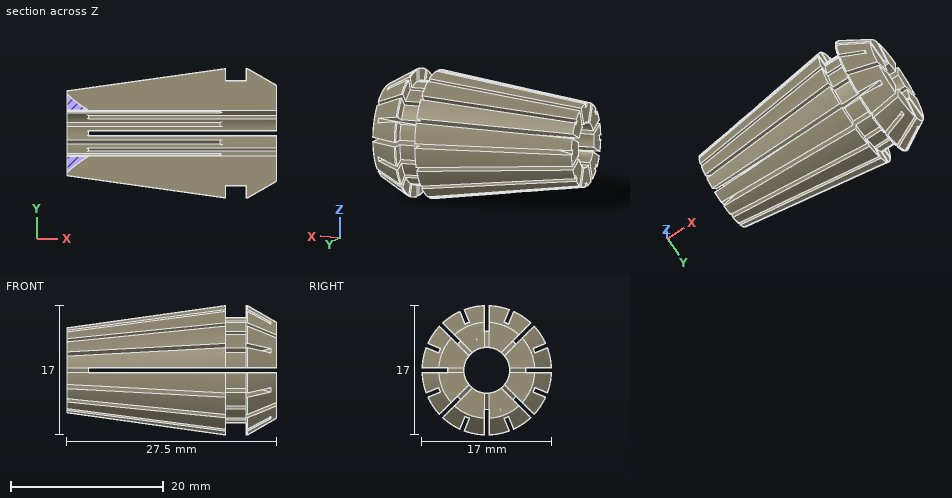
import cadquery as cq
import math

length = 27.5
max_radius = 8.5
bore_radius = 3.0

front_cone_length = 20.82
front_cone_angle = math.radians(8)
front_radius = max_radius - front_cone_length * math.tan(front_cone_angle)

groove_end = 23.48
groove_radius = 6.9
land_end = 23.68

rear_cone_angle = math.radians(30)
rear_radius = max_radius - (length - land_end) * math.tan(rear_cone_angle)

slot_width = 0.6
slots_per_end = 8
slot_pitch = 360 / slots_per_end

rear_slot_disc_radius = 20.0
rear_slot_lowest = 0.0
rear_slot_floor_radius = 5.15

front_slot_disc_radius = 31.9
front_slot_lowest = 0.6
front_slot_end = 26.75
front_slot_end_radius = max_radius - (front_slot_end - land_end) * math.tan(rear_cone_angle)


def rim_reach(disc_radius, lowest, radius):
    """Axial distance from the disc centre to its rim at the given distance from the collet axis."""
    drop = disc_radius + lowest - radius
    return math.sqrt(disc_radius**2 - drop**2)


def make_body():
    """Revolve the bored outline about X."""
    outline = [
        (0, bore_radius),
        (0, front_radius),
        (front_cone_length, max_radius),
        (front_cone_length, groove_radius),
        (groove_end, groove_radius),
        (groove_end, max_radius),
        (land_end, max_radius),
        (length, rear_radius),
        (length, bore_radius),
    ]
    return cq.Workplane("XY").polyline(outline).close().revolve(360, (0, 0, 0), (1, 0, 0))


def make_slot_cutter(disc_radius, lowest, disc_x, open_end_x):
    """Disc at the closed end of a slot, joined to a slab that runs out through the open end."""
    disc_height = disc_radius + lowest
    disc = (
        cq.Workplane("XZ")
        .center(disc_x, disc_height)
        .circle(disc_radius)
        .extrude(slot_width / 2, both=True)
    )
    slab = (
        cq.Workplane("XZ")
        .center((disc_x + open_end_x) / 2, disc_height / 2)
        .rect(abs(open_end_x - disc_x), disc_height)
        .extrude(slot_width / 2, both=True)
    )
    return disc.union(slab)


def cut_slots(body, cutter, first_angle):
    """Cut one ring of equally spaced slots."""
    for index in range(slots_per_end):
        angle = first_angle + index * slot_pitch
        body = body.cut(cutter.rotate((0, 0, 0), (1, 0, 0), angle))
    return body


rear_slot_disc_x = rim_reach(rear_slot_disc_radius, rear_slot_lowest, rear_slot_floor_radius)
rear_slot = make_slot_cutter(rear_slot_disc_radius, rear_slot_lowest, rear_slot_disc_x, length)

front_slot_reach = rim_reach(front_slot_disc_radius, front_slot_lowest, front_slot_end_radius)
front_slot_disc_x = front_slot_end - front_slot_reach
front_slot = make_slot_cutter(front_slot_disc_radius, front_slot_lowest, front_slot_disc_x, 0)

result = make_body()
result = cut_slots(result, rear_slot, 0)
result = cut_slots(result, front_slot, slot_pitch / 2)